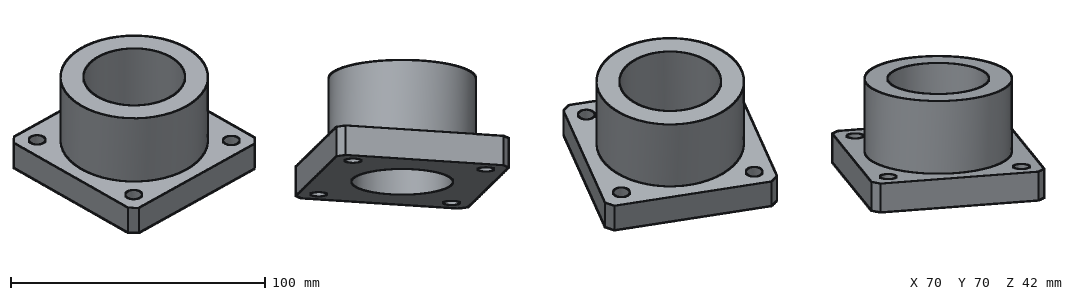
import cadquery as cq

plate_side = 70.0
plate_thickness = 12.0
corner_chamfer = 3.0

total_height = 42.0
hub_diameter = 58.0
bore_diameter = 40.0

hole_diameter = 6.6
hole_spacing = 54.0

plate = (
    cq.Workplane("XY")
    .rect(plate_side, plate_side)
    .extrude(plate_thickness)
    .edges("|Z")
    .chamfer(corner_chamfer)
)

hub = cq.Workplane("XY").circle(hub_diameter / 2).extrude(total_height)

bore = cq.Workplane("XY").circle(bore_diameter / 2).extrude(total_height)

mounting_holes = (
    cq.Workplane("XY")
    .rect(hole_spacing, hole_spacing, forConstruction=True)
    .vertices()
    .circle(hole_diameter / 2)
    .extrude(plate_thickness)
)

result = plate.union(hub).cut(bore).cut(mounting_holes)